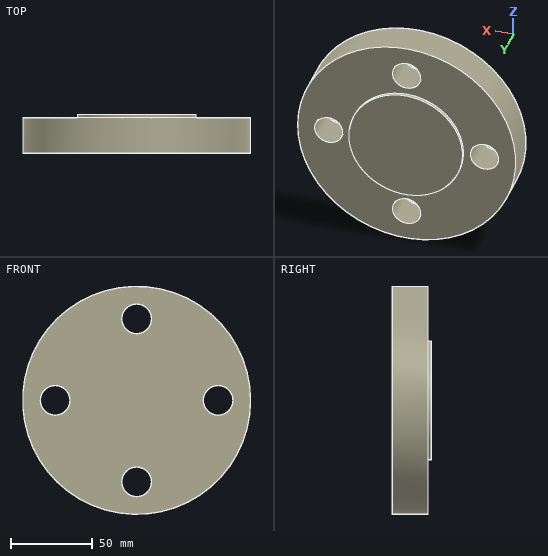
import cadquery as cq

FLANGE_DIAMETER = 140.0
TOTAL_THICKNESS = 24.0
RAISED_FACE_DIAMETER = 73.0
RAISED_FACE_HEIGHT = 2.0
BOLT_CIRCLE_DIAMETER = 100.0
BOLT_HOLE_DIAMETER = 18.0
BOLT_HOLE_COUNT = 4

DISC_THICKNESS = TOTAL_THICKNESS - RAISED_FACE_HEIGHT
FULL_TURN = 360.0



def flange_disc():
    """Main disc, with its flat front face at Y = 0."""
    return cq.Workplane("XZ").circle(FLANGE_DIAMETER / 2).extrude(-DISC_THICKNESS)


def raised_face():
    """Shallow round sealing face; it starts at Y = 0 so that it overlaps the disc."""
    return cq.Workplane("XZ").circle(RAISED_FACE_DIAMETER / 2).extrude(-TOTAL_THICKNESS)


def bolt_holes():
    """Through holes, evenly spaced on the bolt circle, the first one on +X."""
    return (
        cq.Workplane("XZ")
        .polarArray(BOLT_CIRCLE_DIAMETER / 2, 0, FULL_TURN, BOLT_HOLE_COUNT)
        .circle(BOLT_HOLE_DIAMETER / 2)
        .extrude(-DISC_THICKNESS)
    )


result = flange_disc().union(raised_face()).cut(bolt_holes()).clean()